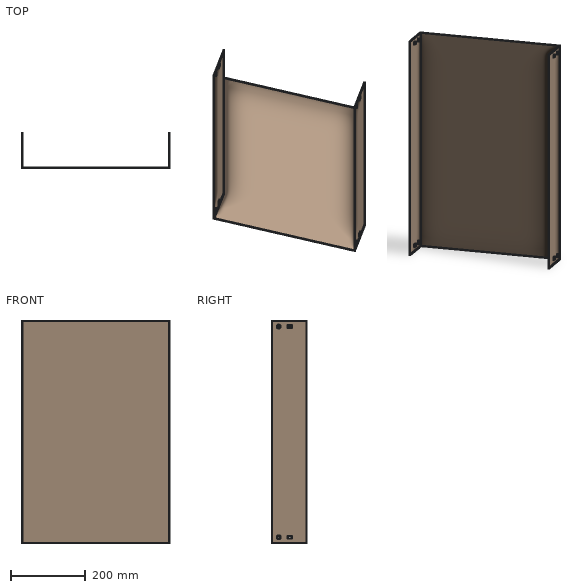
import cadquery as cq

width = 397.0
depth = 94.0
height = 600.0
sheet = 1.0

end_margin = 15.5
hole_diameter = 8.5
hole_setback = 18.5
slot_spacing = 30.0
slot_length = 10.0
slot_height = 6.0


def cover_sheet():
    """Front panel at -Y with a flange running back from each side edge."""
    block = cq.Workplane("XY").box(width, depth, height)
    inner_space = (
        cq.Workplane("XY")
        .box(width - 2 * sheet, depth, height)
        .translate((0, sheet, 0))
    )
    return block.cut(inner_space)


def flange_openings(z):
    """Round hole and rectangular slot passing through both flanges at height z."""
    hole_y = -depth / 2 + hole_setback
    slot_y = hole_y + slot_spacing
    side_plane = cq.Workplane("YZ")
    hole = side_plane.center(hole_y, z).circle(hole_diameter / 2).extrude(width / 2, both=True)
    slot = side_plane.center(slot_y, z).rect(slot_length, slot_height).extrude(width / 2, both=True)
    return hole.union(slot)


result = cover_sheet()
for end in (-1, 1):
    result = result.cut(flange_openings(end * (height / 2 - end_margin)))